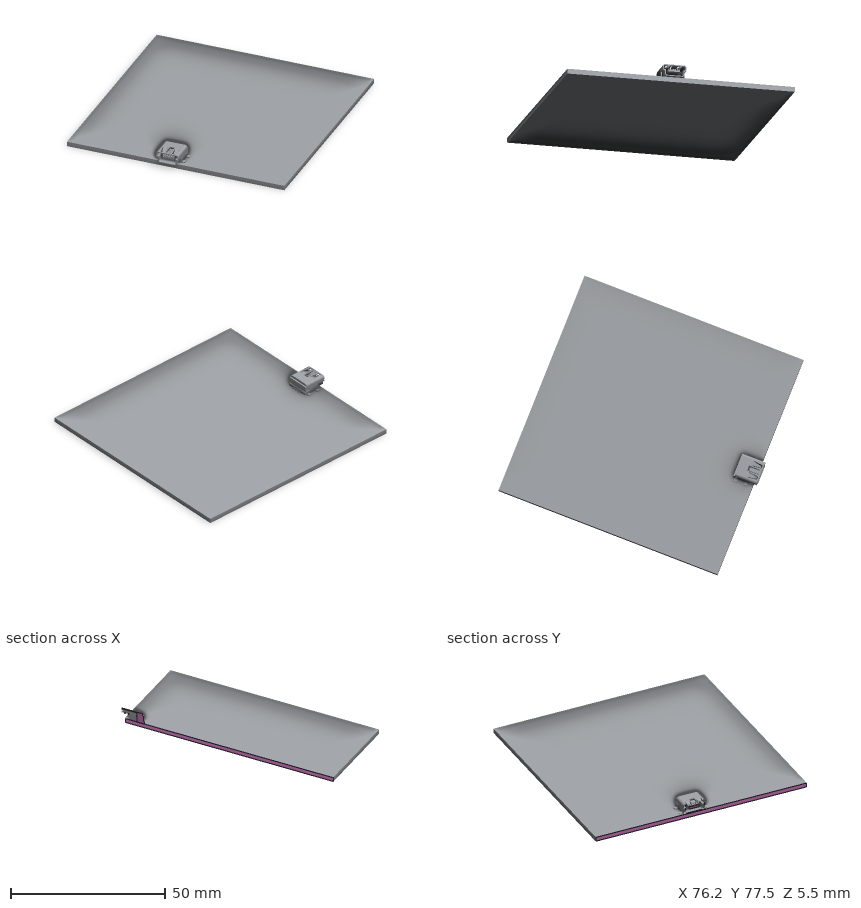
import cadquery as cq
import math

BOARD_SIDE = 76.2
BOARD_THICKNESS = 1.6

CONNECTOR_X = -2.5
OVERHANG = 1.25
SHEET = 0.3
OVERLAP = 0.1

SHELL_WIDTH = 7.8
SHELL_HEIGHT = 3.9
SHELL_DEPTH = 7.7
ROOF_RADIUS = 0.8
CEILING_Z = SHELL_HEIGHT - SHEET
INNER_WIDTH = SHELL_WIDTH - 2 * SHEET

SIDE_WALL_FRONT = 2.6
SHOULDER_Z = 2.25
TROUGH_WIDTH = 6.4
TROUGH_RADIUS = 0.7
LIP_NOTCH_DEPTH = 0.3
LIP_NOTCH_HEIGHT = 0.5

SIDE_SLOT_FRONT = 6.5
SIDE_SLOT_Z = 1.7
SIDE_SLOT_HEIGHT = 1.0

SPRING_X = 2.0
SPRING_ROOT_Y = 3.6
SPRING_TURN_Y = 1.7
SPRING_TIP_Y = 0.85
SPRING_DROP = 0.6
SPRING_TIP_RISE = 0.4
SPRING_ROOT_WIDTH = 1.4
SPRING_TIP_WIDTH = 0.6
SPRING_GAP = 0.2
SLOT_FRONT_Y = 0.5

MIDDLE_SPRING_WIDTH = 1.25
MIDDLE_SPRING_FRONT = 0.55
MIDDLE_SPRING_TURN = 3.25
MIDDLE_SPRING_TIP = 4.0
MIDDLE_SPRING_DROP = 0.55
MIDDLE_SLOT_REAR = 4.6

BLOCK_FRONT = 5.4
BLOCK_REAR = 8.1
BLOCK_REAR_HEIGHT = 3.0
FOOT_REAR = 8.4
FOOT_HEIGHT = 1.2
FOOT_REAR_HEIGHT = 0.6
TONGUE_FRONT = 0.6
TONGUE_WIDTH = 3.9
TONGUE_TOP = 2.6
TONGUE_TIP_BOTTOM = 1.7
TONGUE_ROOT_BOTTOM = 1.0

CONTACT_COUNT = 5
CONTACT_PITCH = 0.8
CONTACT_WIDTH = 0.3
GROOVE_DEPTH = 0.4
PIN_REAR = 9.0
PIN_HEIGHT = 0.3

TAB_SPAN = 10.1
TAB_HEIGHT = 0.3
TAB_RANGES = ((2.95, 4.1), (6.5, 7.7))


def block(width, y_front, y_rear, z_low, z_high, x=0.0):
    """Box centred on x, between two depths and two heights."""
    return cq.Workplane("XY").box(width, y_rear - y_front, z_high - z_low).translate(
        (x, (y_front + y_rear) / 2, (z_low + z_high) / 2)
    )


def side_profile(points, width, x=0.0):
    """Prism of a (y, z) outline, centred on x."""
    return cq.Workplane("YZ").polyline(points).close().extrude(width / 2, both=True).translate((x, 0, 0))


def plan_prism(points):
    """Prism of an (x, y) outline that passes through the roof and the space below it."""
    return cq.Workplane("XY").polyline(points).close().extrude(SHELL_HEIGHT + SHEET)


def contact_places():
    middle = (CONTACT_COUNT - 1) / 2
    return [(i - middle) * CONTACT_PITCH for i in range(CONTACT_COUNT)]


def make_board():
    return block(BOARD_SIDE, OVERHANG, OVERHANG + BOARD_SIDE, -BOARD_THICKNESS, 0)


def make_hood():
    """Roof with rounded sides and walls, cut away beside the mouth and slotted at the rear."""
    outer = block(SHELL_WIDTH, 0, SHELL_DEPTH, 0, SHELL_HEIGHT)
    outer = outer.edges("|Y and >Z").fillet(ROOF_RADIUS)
    inner = block(INNER_WIDTH, 0, SHELL_DEPTH, 0, CEILING_Z)
    inner = inner.edges("|Y and >Z").fillet(ROOF_RADIUS - SHEET)
    hood = outer.cut(inner)
    hood = hood.cut(block(SHELL_WIDTH, 0, SIDE_WALL_FRONT, 0, SHOULDER_Z))
    notch_top = SHOULDER_Z + LIP_NOTCH_HEIGHT
    hood = hood.cut(block(SHELL_WIDTH, 0, LIP_NOTCH_DEPTH, SHOULDER_Z, notch_top))
    return hood.cut(make_side_slots())


def make_side_slots():
    """Rear slots with a round front end, through both side walls."""
    radius = SIDE_SLOT_HEIGHT / 2
    low = SIDE_SLOT_Z - radius
    high = SIDE_SLOT_Z + radius
    return (
        cq.Workplane("YZ")
        .moveTo(SHELL_DEPTH, low)
        .lineTo(SIDE_SLOT_FRONT + radius, low)
        .threePointArc((SIDE_SLOT_FRONT, SIDE_SLOT_Z), (SIDE_SLOT_FRONT + radius, high))
        .lineTo(SHELL_DEPTH, high)
        .close()
        .extrude(SHELL_WIDTH / 2, both=True)
    )


def make_trough():
    """Lower part of the mouth: a floor, two sides and the shoulders that meet the hood."""
    shoulder_low = SHOULDER_Z - SHEET
    rear = BLOCK_FRONT + OVERLAP
    shoulders = block(INNER_WIDTH + OVERLAP, 0, rear, shoulder_low, SHOULDER_Z)
    channel = block(TROUGH_WIDTH, 0, rear, 0, SHOULDER_Z)
    channel = channel.edges("|Y and <Z").fillet(TROUGH_RADIUS)
    cavity = block(TROUGH_WIDTH - 2 * SHEET, 0, rear, SHEET, SHOULDER_Z)
    cavity = cavity.edges("|Y and <Z").fillet(TROUGH_RADIUS - SHEET)
    trough = shoulders.union(channel).cut(cavity)
    for side in (-1, 1):
        trough = trough.union(make_lip(side))
    return trough


def make_lip(side):
    """Outer end of a shoulder, which curves down to the side of the trough in a quarter circle."""
    inner_x = TROUGH_WIDTH / 2
    outer_x = SHELL_WIDTH / 2
    low = SHOULDER_Z - SHEET
    radius = outer_x - inner_x
    sag = radius * (1 - math.sqrt(0.5))
    lip = (
        cq.Workplane("XZ")
        .moveTo(side * (inner_x - OVERLAP), SHOULDER_Z)
        .lineTo(side * outer_x, SHOULDER_Z)
        .lineTo(side * outer_x, low)
        .threePointArc((side * (inner_x + sag), low - sag), (side * inner_x, low - radius))
        .lineTo(side * (inner_x - OVERLAP), low - radius)
        .close()
    )
    return lip.extrude(-SIDE_WALL_FRONT)


def taper_outline(x, gap, y_front):
    """Plan outline of a roof spring, or of its slot when widened by a gap."""
    root = SPRING_ROOT_WIDTH / 2 + gap
    tip = SPRING_TIP_WIDTH / 2 + gap
    return [(x - root, SPRING_ROOT_Y), (x - tip, y_front), (x + tip, y_front), (x + root, SPRING_ROOT_Y)]


def make_spring(x):
    """Tapered strip that slopes down toward the mouth and turns up at its tip."""
    turn_z = SHELL_HEIGHT - SPRING_DROP
    tip_z = turn_z + SPRING_TIP_RISE
    root_rear = SPRING_ROOT_Y + OVERLAP
    strip = side_profile(
        [
            (root_rear, SHELL_HEIGHT),
            (SPRING_ROOT_Y, SHELL_HEIGHT),
            (SPRING_TURN_Y, turn_z),
            (SPRING_TIP_Y, tip_z),
            (SPRING_TIP_Y, tip_z - SHEET),
            (SPRING_TURN_Y, turn_z - SHEET),
            (SPRING_ROOT_Y, CEILING_Z),
            (root_rear, CEILING_Z),
        ],
        SPRING_ROOT_WIDTH,
        x,
    )
    root = block(SPRING_ROOT_WIDTH, SPRING_ROOT_Y, root_rear, CEILING_Z, SHELL_HEIGHT, x)
    return strip.intersect(plan_prism(taper_outline(x, 0, SPRING_TIP_Y))).union(root)


def make_middle_spring():
    """Strip of even width that slopes down toward the rear and turns up at its tip."""
    turn_z = SHELL_HEIGHT - MIDDLE_SPRING_DROP
    root_front = MIDDLE_SPRING_FRONT - OVERLAP
    return side_profile(
        [
            (root_front, SHELL_HEIGHT),
            (MIDDLE_SPRING_FRONT, SHELL_HEIGHT),
            (MIDDLE_SPRING_TURN, turn_z),
            (MIDDLE_SPRING_TIP, SHELL_HEIGHT - SHEET),
            (MIDDLE_SPRING_TIP, CEILING_Z - SHEET),
            (MIDDLE_SPRING_TURN, turn_z - SHEET),
            (MIDDLE_SPRING_FRONT, CEILING_Z),
            (root_front, CEILING_Z),
        ],
        MIDDLE_SPRING_WIDTH,
    )


def add_roof_springs(shell):
    slot_width = MIDDLE_SPRING_WIDTH + 2 * SPRING_GAP
    middle_slot = block(slot_width, MIDDLE_SPRING_FRONT, MIDDLE_SLOT_REAR, CEILING_Z, SHELL_HEIGHT)
    shell = shell.cut(middle_slot).union(make_middle_spring())
    above_ceiling = block(SHELL_WIDTH, 0, SHELL_DEPTH, CEILING_Z, SHELL_HEIGHT)
    for x in (-SPRING_X, SPRING_X):
        slot = plan_prism(taper_outline(x, SPRING_GAP, SLOT_FRONT_Y)).intersect(above_ceiling)
        shell = shell.cut(slot).union(make_spring(x))
    return shell


def make_insulator():
    """Rear block with a sloping foot, and a tongue grooved along each contact."""
    core = block(INNER_WIDTH, BLOCK_FRONT, SHELL_DEPTH, 0, CEILING_Z)
    core = core.edges("|Y and >Z").fillet(ROOF_RADIUS - SHEET)
    back = side_profile(
        [
            (SHELL_DEPTH - OVERLAP, 0),
            (FOOT_REAR, 0),
            (FOOT_REAR, FOOT_REAR_HEIGHT),
            (BLOCK_REAR, FOOT_HEIGHT),
            (BLOCK_REAR, BLOCK_REAR_HEIGHT),
            (SHELL_DEPTH - OVERLAP, BLOCK_REAR_HEIGHT),
        ],
        SHELL_WIDTH,
    )
    tongue = side_profile(
        [
            (TONGUE_FRONT, TONGUE_TIP_BOTTOM),
            (BLOCK_FRONT + OVERLAP, TONGUE_ROOT_BOTTOM),
            (BLOCK_FRONT + OVERLAP, TONGUE_TOP),
            (TONGUE_FRONT, TONGUE_TOP),
        ],
        TONGUE_WIDTH,
    )
    for x in contact_places():
        groove = block(CONTACT_WIDTH, TONGUE_FRONT, BLOCK_FRONT, TONGUE_TOP - GROOVE_DEPTH, TONGUE_TOP, x)
        tongue = tongue.cut(groove)
    return core.union(back).union(tongue)


def make_connector():
    connector = add_roof_springs(make_hood().union(make_trough())).union(make_insulator())
    for x in contact_places():
        connector = connector.union(block(CONTACT_WIDTH, BLOCK_REAR, PIN_REAR, 0, PIN_HEIGHT, x))
    tab_length = (TAB_SPAN - INNER_WIDTH) / 2
    for y_front, y_rear in TAB_RANGES:
        for side in (-1, 1):
            tab_x = side * (TAB_SPAN - tab_length) / 2
            connector = connector.union(block(tab_length, y_front, y_rear, 0, TAB_HEIGHT, tab_x))
    return connector.translate((CONNECTOR_X, 0, 0))


board = make_board()
connector = make_connector()

result = cq.Compound.makeCompound([board.val(), connector.solids().val()])